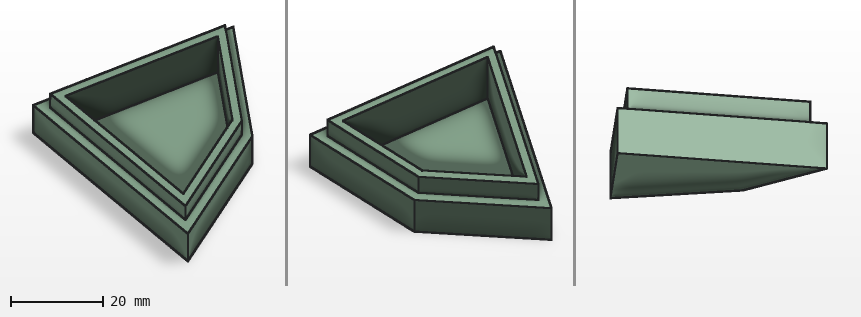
import cadquery as cq
import math

side = 48.25
base_angle = 72.0
total_height = 15.0
body_height = 10.0
rim_inset = 2.2
wall_thickness = 2.0
floor_thickness = 2.0

golden_ratio = (1 + math.sqrt(5)) / 2
short_side = side / golden_ratio

cos_base = math.cos(math.radians(base_angle))
sin_base = math.sin(math.radians(base_angle))
outline = [
    (0, 0),
    (side, 0),
    (side - short_side * cos_base, short_side * sin_base),
    (side * cos_base, side * sin_base),
]


def kite_prism(inset, bottom, top):
    """Kite-shaped prism with its walls moved inward by inset."""
    profile = cq.Workplane("XY").workplane(offset=bottom).polyline(outline).close()
    if inset > 0:
        profile = profile.offset2D(-inset, "intersection")
    return profile.extrude(top - bottom)


body = kite_prism(0, 0, body_height)
rim = kite_prism(rim_inset, 0, total_height)

pocket = kite_prism(rim_inset + wall_thickness, floor_thickness, total_height)

result = body.union(rim).cut(pocket)